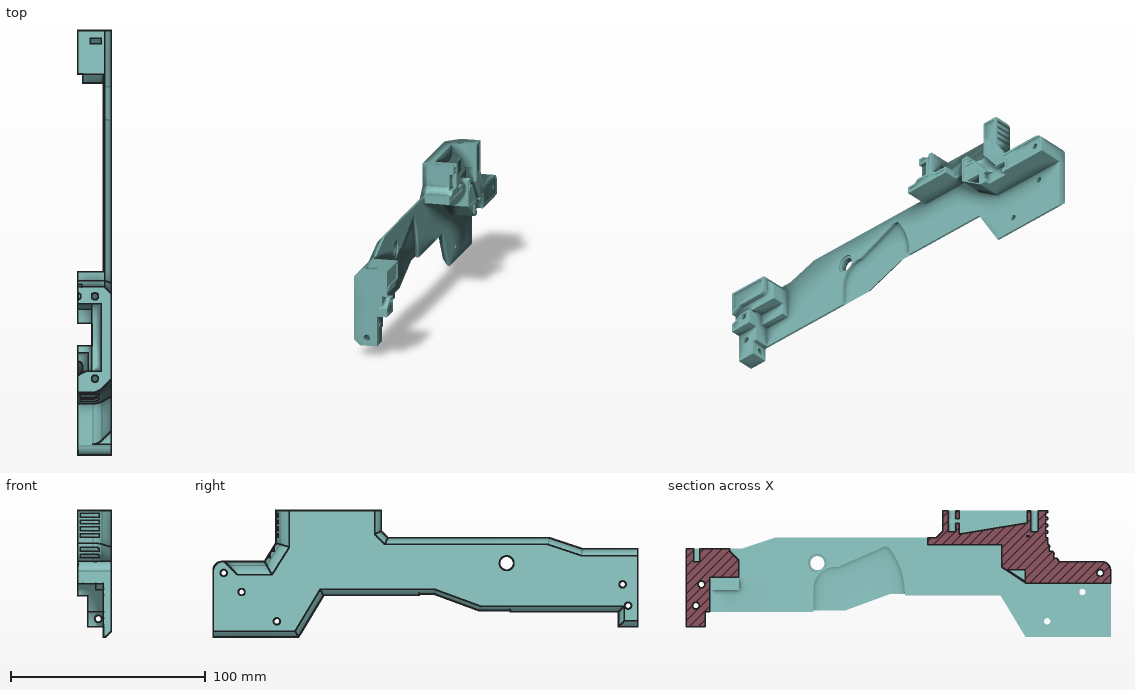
import cadquery as cq
import math

inner_x = -8.7
outer_x = 8.7
plate_x = 4.5
rear_y = 109.1
front_y = -109.1
top_z = 32.5
bottom_z = -32.5

rear_top_z = 12.9
middle_top_z = 18.5
grip_top_z = 6.3
belly_z = -11.1
tail_bottom_z = -19.6
top_bevel = 3.5
bottom_bevel = 3.0

tower_rear_y = -22.7
tower_front_y = -76.8
tower_foot_z = 15.7
slope_end_y = -82.7
tower_ramp_y = -19.5
tower_ramp_rise = 3.3
shelf_rear_y = -14.8
shelf_front_y = -41.5
pocket_rear_y = -31.5
pocket_front_y = -66.0
pocket_x = 3.5
ledge_x = -1.3
ledge_bottom_z = 14.8
ledge_rear_z = 20.5
ledge_front_z = 26.2
post_edge_y = -68.0
post_slant_x = -4.1

boss_rear_y = -52.8
boss_corner_z = 3.5
boss_bottom_y = -65.7
boss_bottom_z = -5.0
boss_top_rear_z = 17.2
boss_top_front_z = 19.5
grip_round = 4.8

panel_margin = 1.3
panel_depth = 0.5

block_front_y = 86.6
block_bottom_z = 2.8
block_round = 2.6
body_x = -6.1
body_front_y = 82.0
body_bottom_z = -2.0
key_x = 0.7
key_bottom_z = -8.3
tab_front_y = 97.0
tab_top_z = -3.0
tab_step_z = -11.3
tab_x = -3.5
foot_front_y = 99.0
foot_bottom_z = -27.3

screw_d = 3.5
pin_d = 3.3
pivot_d = 7.2
pivot_recess_d = 9.5
pivot_recess_depth = 0.9

pick = 0.2


def prism(points, x_from, x_to):
    """Extrude a closed (Y, Z) outline from x_from to x_to."""
    return cq.Workplane("YZ", origin=(x_from, 0, 0)).polyline(points).close().extrude(x_to - x_from)


def block(x_from, x_to, y_from, y_to, z_from, z_to):
    """Box given by its limits along X, Y and Z."""
    size = (x_to - x_from, y_to - y_from, z_to - z_from)
    return cq.Workplane("XY").box(*size, centered=False).translate((x_from, y_from, z_from))


def cross_hole(diameter, y, z, x_from=inner_x, x_to=outer_x):
    """Cylinder along X used to cut a hole."""
    return cq.Workplane("YZ", origin=(x_from, y, z)).circle(diameter / 2).extrude(x_to - x_from)


def sunk_panel(solid):
    """Shallow pocket in the inner face, inset from the outline of a raised prism."""
    outline = solid.faces("<X").wires().toPending().offset2D(-panel_margin)
    return outline.extrude(panel_depth, combine=False)


def rim(opening):
    """Opening grown by the panel margin: the area a panel must leave untouched."""
    skin = block(inner_x, inner_x + panel_depth, front_y, rear_y, bottom_z, top_z)
    edge = opening.intersect(skin).faces("<X").wires()
    section = cq.Workplane("YZ", origin=(inner_x, 0, 0)).add(edge)
    return section.toPending().offset2D(panel_margin, "intersection").extrude(panel_depth, combine=False)


plate = prism(
    [
        (rear_y, rear_top_z),
        (80.5, rear_top_z),
        (63.5, middle_top_z),
        (tower_ramp_y, middle_top_z),
        (tower_rear_y, middle_top_z + tower_ramp_rise),
        (tower_rear_y, top_z),
        (tower_front_y, top_z),
        (tower_front_y, tower_foot_z),
        (slope_end_y, grip_top_z),
        (front_y, grip_top_z),
        (front_y, bottom_z),
        (-65.3, bottom_z),
        (-52.4, belly_z),
        (4.4, belly_z),
        (27.5, tail_bottom_z),
        (foot_front_y, tail_bottom_z),
        (foot_front_y, foot_bottom_z),
        (rear_y, foot_bottom_z),
    ],
    plate_x,
    outer_x,
)
upper_edges = cq.selectors.BoxSelector(
    (outer_x - pick, tower_rear_y - pick, rear_top_z - pick),
    (outer_x + pick, rear_y - pick, top_z - pick),
)
plate = plate.edges(upper_edges).chamfer(top_bevel)
lower_edges = cq.selectors.BoxSelector(
    (outer_x - pick, front_y + pick, bottom_z - pick),
    (outer_x + pick, rear_y - pick, belly_z + pick),
)
plate = plate.edges(lower_edges).chamfer(bottom_bevel)

rear_post = prism(
    [
        (shelf_rear_y, ledge_bottom_z),
        (shelf_rear_y, middle_top_z),
        (tower_ramp_y, middle_top_z),
        (tower_rear_y, middle_top_z + tower_ramp_rise),
        (tower_rear_y, top_z),
        (pocket_rear_y, top_z),
        (pocket_rear_y, ledge_rear_z),
        (-34.0, middle_top_z),
        (shelf_front_y, middle_top_z),
        (shelf_front_y, ledge_bottom_z),
    ],
    inner_x,
    plate_x,
)
rear_post_panel = sunk_panel(rear_post)
ledge = prism(
    [
        (pocket_rear_y, ledge_bottom_z),
        (pocket_rear_y, ledge_rear_z),
        (pocket_front_y, ledge_front_z),
        (pocket_front_y, ledge_bottom_z),
    ],
    ledge_x,
    plate_x,
)
tower_wall = block(pocket_x, plate_x, pocket_front_y, pocket_rear_y, ledge_bottom_z, top_z)

boss = prism(
    [
        (boss_rear_y, boss_top_rear_z),
        (post_edge_y, boss_top_front_z),
        (post_edge_y, top_z),
        (tower_front_y, top_z),
        (tower_front_y, tower_foot_z),
        (slope_end_y, grip_top_z),
        (front_y, grip_top_z),
        (front_y, boss_bottom_z),
        (boss_bottom_y, boss_bottom_z),
        (boss_rear_y, boss_corner_z),
    ],
    inner_x,
    plate_x,
)
boss_panel = sunk_panel(boss)
post_fill = (
    cq.Workplane("XY", origin=(0, 0, boss_top_front_z))
    .polyline(
        [
            (inner_x, post_edge_y),
            (post_slant_x, pocket_front_y),
            (plate_x, pocket_front_y),
            (plate_x, post_edge_y),
        ]
    )
    .close()
    .extrude(top_z - boss_top_front_z)
)

rear_block = prism(
    [
        (rear_y, rear_top_z),
        (rear_y, -0.5),
        (103.7, block_bottom_z),
        (block_front_y, block_bottom_z),
        (block_front_y, rear_top_z),
    ],
    inner_x,
    plate_x,
)
block_corner = cq.selectors.BoxSelector(
    (inner_x - pick, block_front_y - pick, block_bottom_z - pick),
    (plate_x, block_front_y + pick, block_bottom_z + pick),
)
rear_block = rear_block.edges(block_corner).fillet(block_round)
rear_block_panel = sunk_panel(rear_block)
rear_body = prism(
    [
        (rear_y, rear_top_z),
        (rear_y, -6.1),
        (101.5, body_bottom_z),
        (body_front_y, body_bottom_z),
        (body_front_y, 7.0),
        (block_front_y, 11.5),
        (block_front_y, rear_top_z),
    ],
    body_x,
    plate_x,
)
rear_key = block(key_x, plate_x, body_front_y, rear_y, key_bottom_z, body_bottom_z)
tab_head = prism(
    [
        (rear_y, tab_step_z),
        (rear_y, -6.8),
        (102.1, tab_top_z),
        (tab_front_y, tab_top_z),
        (tab_front_y, tab_step_z),
    ],
    inner_x,
    plate_x,
)
tab_panel = sunk_panel(tab_head)
tab_body = block(tab_x, plate_x, tab_front_y, rear_y, tail_bottom_z, body_bottom_z)
tab_foot = block(tab_x, plate_x, foot_front_y, rear_y, foot_bottom_z, tail_bottom_z)

result = plate
for piece in (rear_post, ledge, tower_wall, boss, post_fill):
    result = result.union(piece)
for piece in (rear_block, rear_body, rear_key, tab_head, tab_body, tab_foot):
    result = result.union(piece)

grip_nose = cq.selectors.BoxSelector(
    (inner_x - pick, front_y - pick, grip_top_z - pick),
    (outer_x + pick, front_y + pick, top_z),
)
result = result.edges(grip_nose).edges("|X").fillet(grip_round)

bevel_round = 6.5
bevel_start_x = -0.9
bevel_turn_x = bevel_start_x + bevel_round * math.sin(math.pi / 4)
bevel_turn_drop = bevel_round * (1 - math.cos(math.pi / 4))
bevel_mid_x = bevel_start_x + bevel_round * math.sin(math.pi / 8)
bevel_mid_drop = bevel_round * (1 - math.cos(math.pi / 8))
bevel_drop = bevel_turn_drop + outer_x - bevel_turn_x
bevel_end_y = -103.5
bevel_path = cq.Workplane("YZ").polyline(
    [
        (tower_front_y, top_z),
        (tower_front_y, tower_foot_z),
        (slope_end_y, grip_top_z),
        (bevel_end_y, grip_top_z),
    ]
)
bevel = (
    cq.Workplane("XY", origin=(0, tower_front_y, top_z))
    .moveTo(bevel_start_x, 0)
    .threePointArc((bevel_mid_x, bevel_mid_drop), (bevel_turn_x, bevel_turn_drop))
    .lineTo(outer_x, bevel_drop)
    .lineTo(outer_x, 0)
    .close()
    .sweep(bevel_path, transition="right")
)
bevel_end = prism(
    [
        (bevel_end_y, grip_top_z),
        (bevel_end_y + bevel_drop, grip_top_z - bevel_drop),
        (bevel_end_y, grip_top_z - bevel_drop),
    ],
    inner_x,
    outer_x,
)
result = result.cut(bevel.cut(bevel_end))

relief_rear_y = 43.6
relief_front_y = -3.3
relief_depth = 1.7
relief_low_z = tail_bottom_z - 2.2
relief = (
    cq.Workplane("YZ", origin=(plate_x, 0, 0))
    .moveTo(relief_rear_y, relief_low_z)
    .lineTo(relief_rear_y, -6.8)
    .threePointArc((40.2, 0.5), (31.0, 3.5))
    .lineTo(8.7, 13.3)
    .threePointArc((6.5, 14.0), (4.5, 13.0))
    .threePointArc((-1.0, 2.6), (relief_front_y, belly_z))
    .lineTo(relief_front_y, relief_low_z)
    .close()
    .extrude(relief_depth)
)
result = result.cut(relief)

cavity_x = -3.3
cavity_rear_y = -56.5
cavity_top_z = 20.7
cavity = prism(
    [
        (cavity_rear_y, 12.9),
        (cavity_rear_y, cavity_top_z),
        (post_edge_y, cavity_top_z),
        (post_edge_y, 13.0),
    ],
    inner_x,
    cavity_x,
)
channel_d = 5.5
channel_top = (-63.0, 14.5)
channel_end = (-74.5, 0.2)
channel_run = (0, channel_end[0] - channel_top[0], channel_end[1] - channel_top[1])
channel = cq.Workplane(
    cq.Solid.makeCylinder(
        channel_d / 2,
        math.hypot(*channel_run),
        cq.Vector(inner_x, *channel_top),
        cq.Vector(*channel_run),
    )
)
slot_x = inner_x + 2.8
slot_neck_z = -2.6
slot = block(inner_x, slot_x, -82.7, -67.9, slot_neck_z, 1.0)
slot_neck = block(inner_x, slot_x, -81.0, -69.5, boss_bottom_z, slot_neck_z)
corner_pocket = prism([(-56.0, 2.0), (-65.0, 2.0), (-65.0, -4.0)], inner_x, plate_x)
latch_pocket = block(inner_x, inner_x + 2.2, -27.5, -19.6, 20.5, 28.5)
nut_slot = block(-2.0, 2.5, pocket_rear_y, -26.2, 26.0, 28.2)
for opening in (cavity, channel, slot, slot_neck, corner_pocket, latch_pocket, nut_slot):
    result = result.cut(opening)

for opening in (cavity, channel, slot, corner_pocket):
    boss_panel = boss_panel.cut(rim(opening))
rear_post_panel = rear_post_panel.cut(rim(latch_pocket))
for panel in (rear_post_panel, boss_panel, rear_block_panel, tab_panel):
    result = result.cut(panel)

groove_pitch = 3.5
groove_height = 2.0
groove_depth = 1.0
groove_x_from = -7.5
groove_x_to = 2.5
first_groove_z = 30.1
groove_reach = 2.2
slope_ratio = (tower_front_y - slope_end_y) / (tower_foot_z - grip_top_z)
for index in (0, 1, 2, 3, 5, 6):
    groove_z = first_groove_z - index * groove_pitch
    face_y = tower_front_y - max(0, tower_foot_z - groove_z) * slope_ratio
    groove = block(
        groove_x_from,
        groove_x_to,
        face_y - groove_reach,
        face_y + groove_depth,
        groove_z - groove_height / 2,
        groove_z + groove_height / 2,
    )
    result = result.cut(groove)

tower_hole_x = 0.2
rear_hole_y = -27.5
front_hole_y = -69.8
tower_holes = (
    (tower_hole_x, rear_hole_y, 11.0),
    (tower_hole_x, front_hole_y, 11.0),
    (inner_x, rear_hole_y, 1.3),
)
for hole_x, hole_y, depth in tower_holes:
    hole = cq.Workplane("XY", origin=(hole_x, hole_y, top_z)).circle(screw_d / 2).extrude(-depth)
    result = result.cut(hole)

pin_holes = ((-103.7, 0.5), (-94.5, -9.4), (-76.4, -24.5), (101.3, -5.5), (104.0, -16.4))
for hole_y, hole_z in pin_holes:
    result = result.cut(cross_hole(pin_d, hole_y, hole_z))

pivot_y = 41.7
pivot_z = 5.5
result = result.cut(cross_hole(pivot_d, pivot_y, pivot_z))
pivot_recess = cross_hole(pivot_recess_d, pivot_y, pivot_z, plate_x, plate_x + pivot_recess_depth)
result = result.cut(pivot_recess)

foot_hole = (
    cq.Workplane("XZ", origin=(2.0, rear_y, -23.1))
    .circle(screw_d / 2)
    .extrude(rear_y - foot_front_y)
)
result = result.cut(foot_hole)

top_slot_depth = 6.5
top_slot = block(-2.2, 3.5, 102.4, 105.0, rear_top_z - top_slot_depth, rear_top_z)
result = result.cut(top_slot)